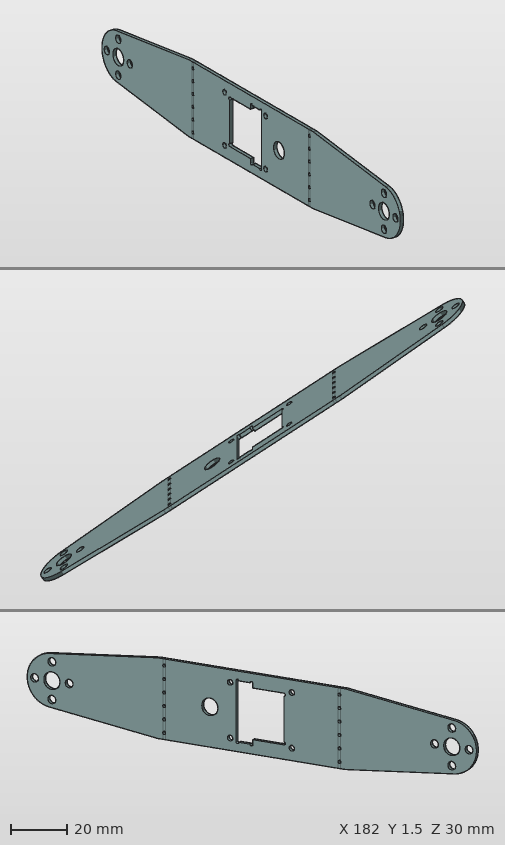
import cadquery as cq
import math

length = 182.0
height = 30.0
thickness = 1.5
half_height = height / 2

end_radius = 10.0
end_center_x = length / 2 - end_radius
taper_start_x = 38.0

end_bore_diameter = 6.5
end_hole_diameter = 3.1
end_hole_circle_radius = 7.0
end_hole_count = 4

fold_x = 35.5
fold_width = 1.0
perforation_diameter = 1.1
perforation_pitch = 5.0
perforation_count = 6

window_left_x = -13.05
window_step_x = -0.35
window_right_x = 6.35
window_low_half_height = 9.6
window_high_half_height = 11.4
relief_diameter = 1.1

screw_hole_diameter = 2.1
screw_hole_left_x = -16.2
screw_hole_spacing_x = 25.0
screw_hole_right_x = screw_hole_left_x + screw_hole_spacing_x
screw_hole_z = 10.35

cable_hole_diameter = 6.5
cable_hole_x = 17.0


def through_holes(points, diameter):
    """Cylinders along Y, running through the plate at the given (x, z) points."""
    return (
        cq.Workplane("XZ", origin=(0, thickness / 2, 0))
        .pushPoints(points)
        .circle(diameter / 2)
        .extrude(thickness)
    )


def make_plate():
    """Plate outline whose taper edges run tangent into the round ends."""
    run = end_center_x - taper_start_x
    corner_angle = math.atan2(half_height, -run)
    tangent_angle = corner_angle - math.acos(end_radius / math.hypot(run, half_height))
    tangent_x = end_center_x + end_radius * math.cos(tangent_angle)
    tangent_z = end_radius * math.sin(tangent_angle)
    return (
        cq.Workplane("XZ", origin=(0, thickness / 2, 0))
        .moveTo(-taper_start_x, half_height)
        .lineTo(taper_start_x, half_height)
        .lineTo(tangent_x, tangent_z)
        .threePointArc((length / 2, 0), (tangent_x, -tangent_z))
        .lineTo(taper_start_x, -half_height)
        .lineTo(-taper_start_x, -half_height)
        .lineTo(-tangent_x, -tangent_z)
        .threePointArc((-length / 2, 0), (-tangent_x, tangent_z))
        .close()
        .extrude(thickness)
    )


def make_end_holes(center_x):
    """Central bore and its ring of mounting holes."""
    ring = []
    for index in range(end_hole_count):
        angle = 2 * math.pi * index / end_hole_count
        x = center_x + end_hole_circle_radius * math.cos(angle)
        z = end_hole_circle_radius * math.sin(angle)
        ring.append((x, z))
    bore = through_holes([(center_x, 0)], end_bore_diameter)
    return bore.union(through_holes(ring, end_hole_diameter))


def make_fold_strip(center_x):
    """Full-height, full-thickness strip of the plate that forms one fold line."""
    return cq.Workplane("XY").box(fold_width, thickness, height).translate((center_x, 0, 0))


def make_perforations(center_x):
    """Evenly spaced row of small holes along one fold line."""
    first_z = -perforation_pitch * (perforation_count - 1) / 2
    points = [(center_x, first_z + index * perforation_pitch) for index in range(perforation_count)]
    return through_holes(points, perforation_diameter)


def make_window():
    """Stepped window, taller on its right side, with round corner reliefs."""
    low_width = window_right_x - window_left_x
    high_width = window_right_x - window_step_x
    low_part = cq.Workplane("XY").box(low_width, thickness, 2 * window_low_half_height)
    high_part = cq.Workplane("XY").box(high_width, thickness, 2 * window_high_half_height)
    low_part = low_part.translate(((window_left_x + window_right_x) / 2, 0, 0))
    high_part = high_part.translate(((window_step_x + window_right_x) / 2, 0, 0))
    relief_radius = relief_diameter / 2
    reliefs = []
    for side in (-1, 1):
        reliefs.append((window_left_x, side * (window_low_half_height - relief_radius)))
        reliefs.append((window_step_x + relief_radius, side * window_high_half_height))
        reliefs.append((window_right_x - relief_radius, side * window_high_half_height))
    return low_part.union(high_part).union(through_holes(reliefs, relief_diameter))


def make_screw_holes():
    """Four screw holes at the corners of a rectangle around the window."""
    columns = (screw_hole_left_x, screw_hole_right_x)
    points = [(x, side * screw_hole_z) for x in columns for side in (-1, 1)]
    return through_holes(points, screw_hole_diameter)


result = make_plate()
for side in (-1, 1):
    strip = make_fold_strip(side * fold_x)
    result = result.cut(strip, clean=False).union(strip, clean=False)
for side in (-1, 1):
    result = result.cut(make_end_holes(side * end_center_x), clean=False)
    result = result.cut(make_perforations(side * fold_x), clean=False)
result = result.cut(make_window(), clean=False)
result = result.cut(make_screw_holes(), clean=False)
result = result.cut(through_holes([(cable_hole_x, 0)], cable_hole_diameter), clean=False)